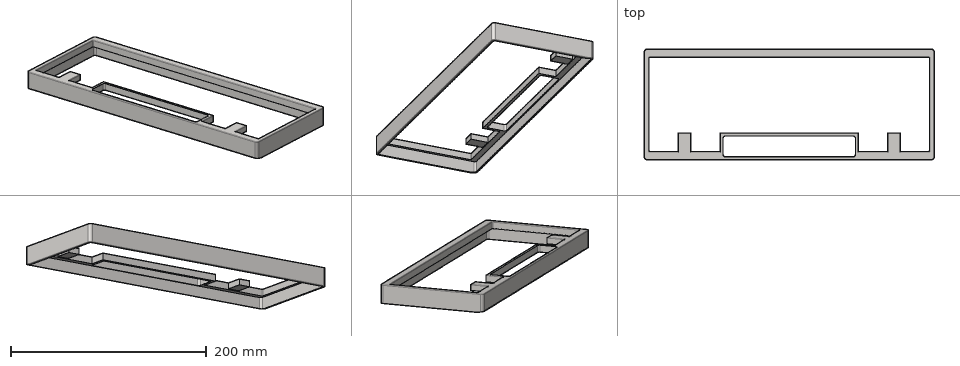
import cadquery as cq

LENGTH = 296.8
WIDTH = 113.5
HEIGHT = 20.0
CORNER_RADIUS = 3.0

WALL = 2.0
RECESS_CORNER_RADIUS = 2.0
SIDE_LIP = 5.0
LONG_LIP = 8.5
LIP_THICKNESS = 7.5
OPENING_CORNER_RADIUS = 1.63 / 2

SHELF_REACH = 27.5
TAB_WIDTH = 13.0
TAB_CENTER = 107.0
TAB_THICKNESS = 6.5
BEZEL_LENGTH = 141.5
BEZEL_RIM = 3.3
WINDOW_CORNER_RADIUS = 2.0

EDGE_RADIUS = 0.5

RELIEF_RUN = 7.5
RELIEF_RISE = 1.2

FRONT = -WIDTH / 2
ROOT = LONG_LIP / 2


def plate(length, y_min, y_max, thickness, x_center=0.0, top=HEIGHT):
    """Flat block given by its length, Y range and the height of its top face."""
    return (
        cq.Workplane("XY")
        .box(length, y_max - y_min, thickness)
        .translate((x_center, (y_min + y_max) / 2, top - thickness / 2))
    )


def rounded_plate(length, y_min, y_max, thickness, radius, top=HEIGHT):
    """Plate with rounded vertical corners."""
    return plate(length, y_min, y_max, thickness, top=top).edges("|Z").fillet(radius)


def make_front_relief():
    """Wedge that slopes the underside up towards the front face."""
    return (
        cq.Workplane("YZ")
        .polyline([(FRONT, 0), (FRONT + RELIEF_RUN, 0), (FRONT, RELIEF_RISE)])
        .close()
        .extrude(LENGTH / 2, both=True)
    )


def make_outer_block():
    """Rounded block with the relief cut and the outline of its underside rounded."""
    block = rounded_plate(LENGTH, FRONT, -FRONT, HEIGHT, CORNER_RADIUS).cut(make_front_relief())
    crease = cq.selectors.NearestToPointSelector((0, FRONT + RELIEF_RUN, 0))
    outline = cq.selectors.StringSyntaxSelector("not (|Z or >Z)")
    return block.edges(outline - crease).fillet(EDGE_RADIUS)


def make_frame():
    """Rounded skirt, recessed from below and opened through the top lip."""
    outer = make_outer_block()
    recess = rounded_plate(
        LENGTH - 2 * WALL,
        FRONT + WALL,
        -FRONT - WALL,
        HEIGHT - LIP_THICKNESS,
        RECESS_CORNER_RADIUS,
        top=HEIGHT - LIP_THICKNESS,
    )
    opening = rounded_plate(
        LENGTH - 2 * SIDE_LIP,
        FRONT + LONG_LIP,
        -FRONT - LONG_LIP,
        HEIGHT,
        OPENING_CORNER_RADIUS,
    )
    return outer.cut(recess).cut(opening)


def make_tab(x_center):
    """Tab reaching inwards from the front lip, flush with the top."""
    return plate(TAB_WIDTH, FRONT + ROOT, FRONT + SHELF_REACH, TAB_THICKNESS, x_center)


def make_bezel():
    """Solid pad behind the front face, before its window is cut."""
    return plate(BEZEL_LENGTH, FRONT + ROOT, FRONT + SHELF_REACH, LIP_THICKNESS)


def make_bezel_window():
    """Rounded window that leaves an even rim around the bezel."""
    return rounded_plate(
        BEZEL_LENGTH - 2 * BEZEL_RIM,
        FRONT + BEZEL_RIM,
        FRONT + SHELF_REACH - BEZEL_RIM,
        LIP_THICKNESS,
        WINDOW_CORNER_RADIUS,
    )


result = make_frame().union(make_bezel())
for side in (-1, 1):
    result = result.union(make_tab(side * TAB_CENTER))
result = result.faces(">Z").edges().fillet(EDGE_RADIUS)
result = result.cut(make_bezel_window())